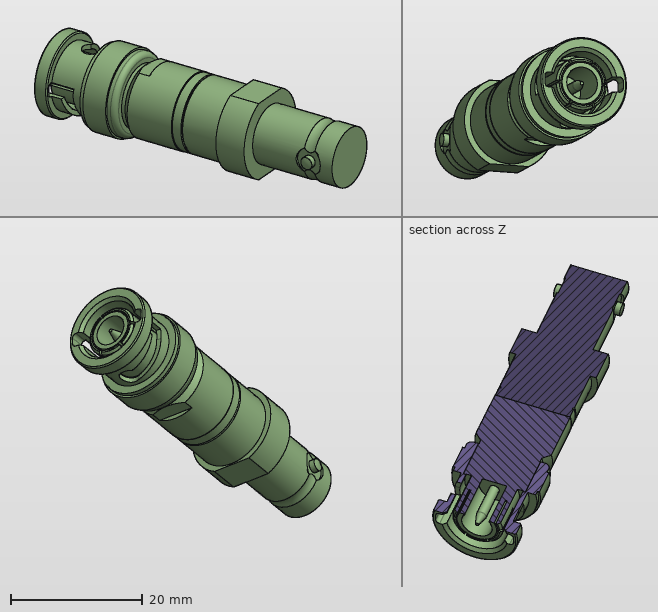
import cadquery as cq
LENGTH = 53.0

NUT_LENGTH = 14.9
RIM_RADIUS = 6.95
RIM_LENGTH = 2.4
RIM_CHAMFER = 0.2
SLEEVE_RADIUS = 5.65
SLEEVE_BORE_RADIUS = 4.9
MOUTH_CHAMFER = 0.55
COLLAR_START = 8.45
GRIP_START = 9.15
GRIP_END = 13.3
GRIP_RADIUS = 7.25
COLLAR_ROUND = 0.9

ENTRY_END = 6.35
ENTRY_WIDTH = 2.35
ENTRY_TOP = 6.35
ENTRY_ROUND = 0.65
TRACK_WIDTH = 2.35
TRACK_START = 5.1
TRACK_ADVANCE = 1.4
LATCH_RADIUS = 1.6
LATCH_X = 6.1
TURNS = (0, 180)

NECK_START = 8.5
NECK_RADIUS = 5.25
SHELL_START = 15.55
SHELL_RADIUS = 6.35
JOINT_X = 24.8
SHELL_CHAMFER = 0.1
WRENCH_FLAT_HEIGHT = 5.6
WRENCH_FLAT_END = 18.45

CONTACT_START = 0.95
CONTACT_RADIUS = 4.1
CONTACT_CHAMFER = 0.35
INSULATOR_RADIUS = 3.25
SPRING_GAP = 0.2
SPRING_LENGTH = 4.8
SLOT_COUNT = 6
SLOT_WIDTH = 0.4
SOCKET_RADIUS = 2.5
SOCKET_END = NECK_START
PIN_START = 1.0
PIN_RADIUS = 0.8
PIN_TIP_RADIUS = 0.25
PIN_TAPER = 1.85

BARREL_RADIUS = 6.3
BARREL_GROOVE_START = 26.4
BARREL_GROOVE_SIZE = 0.3
FLANGE_START = 33.4
FLANGE_END = 38.55
FLANGE_RADIUS = GRIP_RADIUS
FLANGE_FLAT_HEIGHT = 6.5
TAIL_RADIUS = 4.9
LUG_X = 48.65
LUG_RADIUS = 1.0
LUG_TIP = 5.55
LUG_DOME = 0.15
LUG_SEAT_RADIUS = 2.2
LUG_SEAT_HEIGHT = 4.45
TAIL_GROOVE_WIDTH = 1.9
TAIL_GROOVE_DEPTH = 0.185


def turned(points):
    """Solid turned about the X axis from an outline of (x, radius) points."""
    return cq.Workplane("XY").polyline(points).close().revolve(360, (0, 0, 0), (1, 0, 0))


def rod(start, end, radius):
    """Round bar along the X axis."""
    return cq.Workplane("YZ", origin=(start, 0, 0)).circle(radius).extrude(end - start)


def flats(start, end, radius, height):
    """Material above and below a pair of flats facing +Z and -Z."""
    blank = cq.Workplane("XY").box(end - start, 2 * radius, 2 * radius)
    kept = cq.Workplane("XY").box(end - start, 2 * radius, 2 * height)
    return blank.cut(kept).translate(((start + end) / 2, 0, 0))


def bayonet_track():
    """Entry channel at +Y, helical slot from +Y to +Z, and latch hole at +Z."""
    entry = cq.Workplane("XY").box(ENTRY_END, ENTRY_TOP, ENTRY_WIDTH, centered=(False, False, True))
    entry = entry.edges("|X and >Y").fillet(ENTRY_ROUND)

    middle_radius = (SLEEVE_BORE_RADIUS + SLEEVE_RADIUS) / 2
    cut_depth = 2 * (SLEEVE_RADIUS - SLEEVE_BORE_RADIUS)
    helix = cq.Wire.makeHelix(4 * TRACK_ADVANCE, TRACK_ADVANCE, middle_radius)
    slot = (
        cq.Workplane("XZ")
        .center(middle_radius, 0)
        .rect(cut_depth, TRACK_WIDTH)
        .sweep(cq.Workplane(obj=helix), isFrenet=True)
        .rotate((0, 0, 0), (1, 1, 1), 120)
        .translate((TRACK_START, 0, 0))
    )

    latch = cq.Workplane("XY").center(LATCH_X, 0).circle(LATCH_RADIUS).extrude(GRIP_RADIUS)
    return entry, slot, latch


def make_coupling_nut():
    nut = (
        cq.Workplane("XY")
        .moveTo(0, SLEEVE_BORE_RADIUS + MOUTH_CHAMFER)
        .lineTo(0, RIM_RADIUS - RIM_CHAMFER)
        .lineTo(RIM_CHAMFER, RIM_RADIUS)
        .lineTo(RIM_LENGTH - RIM_CHAMFER, RIM_RADIUS)
        .lineTo(RIM_LENGTH, RIM_RADIUS - RIM_CHAMFER)
        .lineTo(RIM_LENGTH, SLEEVE_RADIUS)
        .lineTo(COLLAR_START, SLEEVE_RADIUS)
        .lineTo(COLLAR_START, RIM_RADIUS)
        .lineTo(GRIP_START, RIM_RADIUS)
        .lineTo(GRIP_START, GRIP_RADIUS)
        .lineTo(GRIP_END, GRIP_RADIUS)
        .lineTo(GRIP_END, RIM_RADIUS)
        .lineTo(NUT_LENGTH - COLLAR_ROUND, RIM_RADIUS)
        .radiusArc((NUT_LENGTH, RIM_RADIUS - COLLAR_ROUND), COLLAR_ROUND)
        .lineTo(NUT_LENGTH, NECK_RADIUS)
        .lineTo(NECK_START, NECK_RADIUS)
        .lineTo(NECK_START, SLEEVE_BORE_RADIUS)
        .lineTo(MOUTH_CHAMFER, SLEEVE_BORE_RADIUS)
        .close()
        .revolve(360, (0, 0, 0), (1, 0, 0))
    )
    for turn in TURNS:
        for cutter in bayonet_track():
            nut = nut.cut(cutter.rotate((0, 0, 0), (1, 0, 0), turn))
    return nut


def spring_slots():
    """Ring gap around the insulator and the slots that split the contact into fingers."""
    end = CONTACT_START + SPRING_LENGTH
    gap_radius = INSULATOR_RADIUS + SPRING_GAP
    cutter = rod(CONTACT_START, end, gap_radius)
    for index in range(SLOT_COUNT):
        slot = (
            cq.Workplane("XY")
            .box(SPRING_LENGTH, CONTACT_RADIUS, SLOT_WIDTH, centered=(False, False, True))
            .translate((CONTACT_START, SOCKET_RADIUS, 0))
            .rotate((0, 0, 0), (1, 0, 0), index * 360 / SLOT_COUNT)
        )
        cutter = cutter.union(slot)
    return cutter.cut(rod(CONTACT_START, end, INSULATOR_RADIUS))


def make_plug_body():
    cone_end = SHELL_START + SHELL_RADIUS - NECK_RADIUS
    body = turned([
        (CONTACT_START, 0),
        (CONTACT_START, CONTACT_RADIUS - CONTACT_CHAMFER),
        (CONTACT_START + CONTACT_CHAMFER, CONTACT_RADIUS),
        (NECK_START, CONTACT_RADIUS),
        (NECK_START, NECK_RADIUS),
        (SHELL_START, NECK_RADIUS),
        (cone_end, SHELL_RADIUS),
        (JOINT_X - SHELL_CHAMFER, SHELL_RADIUS),
        (JOINT_X, SHELL_RADIUS - SHELL_CHAMFER),
        (JOINT_X, 0),
    ])
    body = body.cut(flats(SHELL_START, WRENCH_FLAT_END, SHELL_RADIUS, WRENCH_FLAT_HEIGHT))
    body = body.cut(spring_slots())
    body = body.cut(rod(CONTACT_START, SOCKET_END, SOCKET_RADIUS))
    pin = turned([
        (PIN_START, 0),
        (PIN_START, PIN_TIP_RADIUS),
        (PIN_START + PIN_TAPER, PIN_RADIUS),
        (SOCKET_END, PIN_RADIUS),
        (SOCKET_END, 0),
    ])
    return body.union(pin)


def tail_groove():
    """Shallow round-bottomed ring around the tail, level with the lugs."""
    half_width = TAIL_GROOVE_WIDTH / 2
    return (
        cq.Workplane("XY")
        .moveTo(LUG_X - half_width, TAIL_RADIUS)
        .threePointArc((LUG_X, TAIL_RADIUS - TAIL_GROOVE_DEPTH), (LUG_X + half_width, TAIL_RADIUS))
        .lineTo(LUG_X + half_width, FLANGE_RADIUS)
        .lineTo(LUG_X - half_width, FLANGE_RADIUS)
        .close()
        .revolve(360, (0, 0, 0), (1, 0, 0))
    )


def bayonet_lug():
    """Lug pointing to -Y, with a shallow domed tip."""
    dome_radius = (LUG_RADIUS**2 + LUG_DOME**2) / (2 * LUG_DOME)
    return (
        cq.Workplane("XY", origin=(LUG_X, 0, 0))
        .lineTo(0, -LUG_TIP)
        .radiusArc((LUG_RADIUS, LUG_DOME - LUG_TIP), -dome_radius)
        .lineTo(LUG_RADIUS, 0)
        .close()
        .revolve(360, (0, 0, 0), (0, 1, 0))
    )


def make_jack_body():
    body = turned([
        (JOINT_X, 0),
        (JOINT_X, BARREL_RADIUS),
        (BARREL_GROOVE_START, BARREL_RADIUS),
        (BARREL_GROOVE_START, BARREL_RADIUS - BARREL_GROOVE_SIZE),
        (BARREL_GROOVE_START + BARREL_GROOVE_SIZE, BARREL_RADIUS),
        (FLANGE_START, BARREL_RADIUS),
        (FLANGE_START, FLANGE_RADIUS),
        (FLANGE_END, FLANGE_RADIUS),
        (FLANGE_END, TAIL_RADIUS),
        (LENGTH, TAIL_RADIUS),
        (LENGTH, 0),
    ])
    body = body.cut(flats(FLANGE_START, FLANGE_END, FLANGE_RADIUS, FLANGE_FLAT_HEIGHT))
    body = body.cut(tail_groove())

    seat_plane = cq.Workplane("XZ", origin=(LUG_X, -LUG_SEAT_HEIGHT, 0))
    seat = seat_plane.circle(LUG_SEAT_RADIUS).extrude(LUG_TIP - LUG_SEAT_HEIGHT)
    for turn in TURNS:
        body = body.cut(seat.rotate((0, 0, 0), (1, 0, 0), turn))
        body = body.union(bayonet_lug().rotate((0, 0, 0), (1, 0, 0), turn))
    return body


coupling_nut = make_coupling_nut()
plug_body = make_plug_body()
jack_body = make_jack_body()

result = cq.Compound.makeCompound([coupling_nut.val(), plug_body.val(), jack_body.val()])